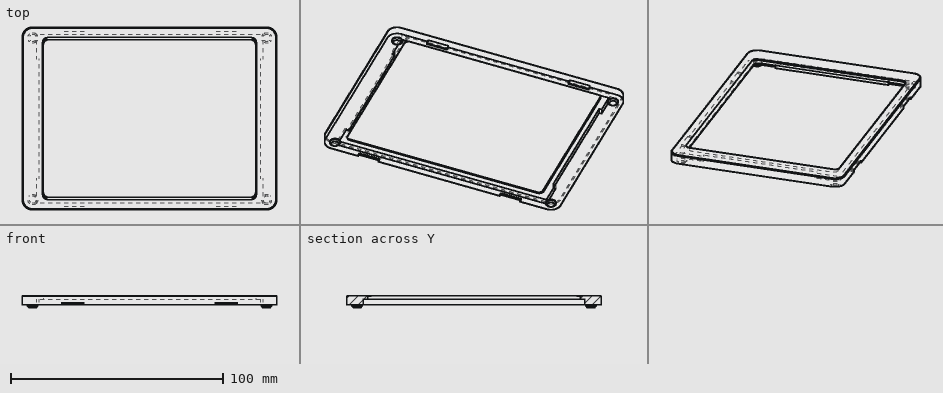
import cadquery as cq
import math

LENGTH = 120.0
WIDTH = 86.0
HEIGHT = 5.6
FOOT_HEIGHT = 1.2
PLATE_TOP = HEIGHT - FOOT_HEIGHT
CORNER_RADIUS = 4.9
EDGE_CHAMFER = 0.42

RIM_THICKNESS = 1.8
WINDOW_LENGTH = 100.0
WINDOW_BOTTOM_WIDTH = 74.0
WINDOW_RADIUS = 2.0
LONG_WALL_ANGLE = 60

MOUTH_LENGTH = WINDOW_LENGTH + 2 * EDGE_CHAMFER
MOUTH_WIDTH = 76.3
MOUTH_RADIUS = WINDOW_RADIUS + EDGE_CHAMFER

RECESS_DEPTH = PLATE_TOP - RIM_THICKNESS
RECESS_LENGTH = 104.3
RECESS_WIDTH = 79.2
RELIEF_LENGTH = 106.8
RELIEF_WIDTH = 11.4

FOOT_DIAMETER = 4.8
FOOT_CHAMFER = 0.7
FOOT_INSET = CORNER_RADIUS

NOTCH_LENGTH = 10.3
NOTCH_DEPTH = 1.8
NOTCH_OUTER_HEIGHT = 1.0
NOTCH_INNER_HEIGHT = 0.54
NOTCH_X = 36.1

SIDES = (-1, 1)


def block(length, width, height):
    return cq.Workplane("XY").rect(length, width).extrude(height)


def make_plate():
    plate = block(LENGTH, WIDTH, PLATE_TOP).edges("|Z").fillet(CORNER_RADIUS)
    return plate.faces(">Z").edges().chamfer(EDGE_CHAMFER)


def make_window():
    """Window cutter with leaning long walls and rounded corners."""
    lean = RIM_THICKNESS / math.tan(math.radians(LONG_WALL_ANGLE))
    bottom_y = WINDOW_BOTTOM_WIDTH / 2
    top_y = bottom_y + lean
    profile = [
        (-bottom_y, RECESS_DEPTH),
        (bottom_y, RECESS_DEPTH),
        (top_y, PLATE_TOP),
        (-top_y, PLATE_TOP),
    ]
    window = cq.Workplane("YZ").polyline(profile).close().extrude(WINDOW_LENGTH / 2, both=True)
    return window.edges("not #Z").fillet(WINDOW_RADIUS)


def make_mouth():
    """Shallow cutter that flares outward at 45 degrees up to the top face."""
    return (
        cq.Workplane("XY")
        .workplane(offset=PLATE_TOP)
        .sketch()
        .rect(MOUTH_LENGTH, MOUTH_WIDTH)
        .vertices()
        .fillet(MOUTH_RADIUS)
        .finalize()
        .extrude(-EDGE_CHAMFER, taper=45)
    )


def make_recess():
    recess = block(RECESS_LENGTH, RECESS_WIDTH, RECESS_DEPTH)
    relief = block(RELIEF_LENGTH, RELIEF_WIDTH, RECESS_DEPTH)
    for side in SIDES:
        recess = recess.union(relief.translate((0, side * (RECESS_WIDTH - RELIEF_WIDTH) / 2, 0)))
    return recess


def make_foot(side_x, side_y):
    foot = cq.Workplane("XY").circle(FOOT_DIAMETER / 2).extrude(-FOOT_HEIGHT)
    foot = foot.faces("<Z").chamfer(FOOT_CHAMFER)
    return foot.translate((side_x * (LENGTH / 2 - FOOT_INSET), side_y * (WIDTH / 2 - FOOT_INSET), 0))


def make_notch(side_x, side_y):
    outer_y = side_y * WIDTH / 2
    inner_y = side_y * (WIDTH / 2 - NOTCH_DEPTH)
    profile = [
        (outer_y, 0),
        (inner_y, 0),
        (inner_y, NOTCH_INNER_HEIGHT),
        (outer_y, NOTCH_OUTER_HEIGHT),
    ]
    notch = cq.Workplane("YZ").polyline(profile).close().extrude(NOTCH_LENGTH / 2, both=True)
    return notch.translate((side_x * NOTCH_X, 0, 0))


result = make_plate().cut(make_window()).cut(make_mouth()).cut(make_recess())
for side_x in SIDES:
    for side_y in SIDES:
        result = result.union(make_foot(side_x, side_y)).cut(make_notch(side_x, side_y))